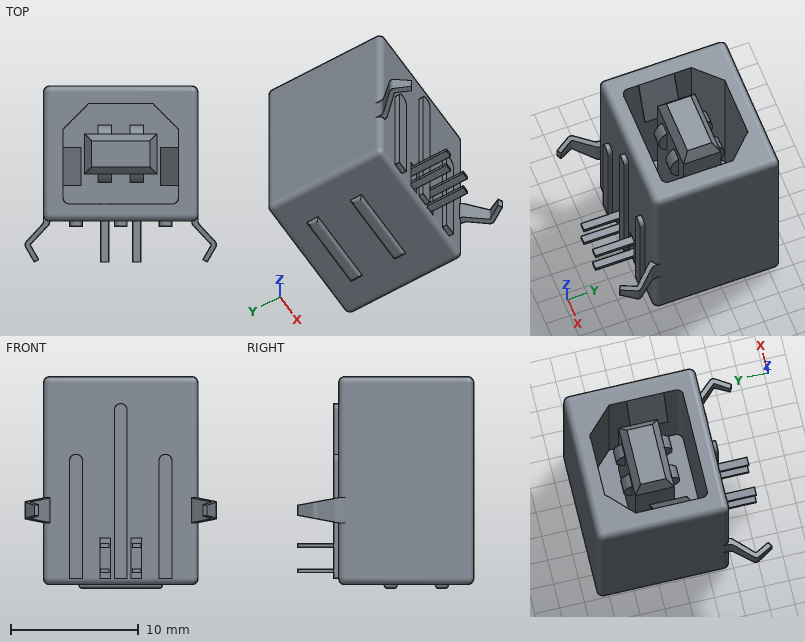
import cadquery as cq
import math


housing_width = 12.1
housing_depth = 10.59
housing_height = 16.3
overall_height = 16.6
housing_round = 0.5
half_width = housing_width / 2

cavity_half_width = 4.52
cavity_front = 1.35
cavity_back = 9.23
cavity_front_round = 0.5
cavity_back_half_width = 2.49

pin_width = 0.63
pin_thickness = 0.28
pin_spacing = 2.5
pin_rows = (1.08, 3.07)
pin_tip_y = -3.2
slot_inner_x = 0.81
slot_width = 0.81
slot_bottom = housing_round
slot_top = 3.67
cavity_floor = slot_top

tongue_half_width = 2.82
tongue_front = 3.7
tongue_back = 6.84
tongue_top = 16.07
tongue_bevel_side = 0.55
tongue_bevel_height = 0.9

contact_width = 1.03
contact_top = 14.28
contact_half_length = 1.28
contact_bulge = 0.68

finger_front = 2.79
finger_back = 5.78
finger_reach = 1.4
finger_drop = 3.55
finger_thickness = 0.15

rib_width = 1.01
rib_height = 0.4
rib_offset = 3.5
center_rib_top = 14.18
side_rib_top = 10.21

foot_length = 6.54
foot_width = 1.03
foot_height = overall_height - housing_height
foot_round = 0.28
foot_centers = (4.08, 8.08)

clip_center_z = 5.83
clip_root_width = 2.0
clip_tip_width = 0.8
clip_thickness = 0.4
clip_out_angle = math.radians(43)
clip_return_angle = math.radians(30)
clip_bend_y = -0.15
clip_elbow_x = 7.59
clip_root_outer_round = 0.58
clip_root_inner_round = 0.43
clip_elbow_outer_round = 0.38
clip_elbow_inner_round = 0.1


def box(x0, x1, y0, y1, z0, z1):
    return cq.Workplane("XY").box(x1 - x0, y1 - y0, z1 - z0, centered=False).translate((x0, y0, z0))


def make_housing():
    block = box(-half_width, half_width, 0, housing_depth, 0, housing_height)
    return block.edges().fillet(housing_round)


def make_cavity():
    """Opening from the top, with its two back corners cut at 45 degrees."""
    corner_cut = cavity_half_width - cavity_back_half_width
    outline = [
        (-cavity_half_width, cavity_front),
        (cavity_half_width, cavity_front),
        (cavity_half_width, cavity_back - corner_cut),
        (cavity_back_half_width, cavity_back),
        (-cavity_back_half_width, cavity_back),
        (-cavity_half_width, cavity_back - corner_cut),
    ]
    cavity = cq.Workplane("XY").workplane(offset=cavity_floor).polyline(outline).close()
    cavity = cavity.extrude(housing_height - cavity_floor)
    return cavity.edges("|Z and <Y").fillet(cavity_front_round)


def make_pin_slot(side):
    center_x = side * (slot_inner_x + slot_width / 2)
    return box(center_x - slot_width / 2, center_x + slot_width / 2, 0, cavity_front, slot_bottom, slot_top)


def make_tongue():
    width = 2 * tongue_half_width
    depth = tongue_back - tongue_front
    bevel_bottom = tongue_top - tongue_bevel_height
    center_y = (tongue_front + tongue_back) / 2
    stem = box(-tongue_half_width, tongue_half_width, tongue_front, tongue_back, cavity_floor, bevel_bottom)
    tip = (
        cq.Workplane("XY", origin=(0, center_y, bevel_bottom))
        .rect(width, depth)
        .workplane(offset=tongue_bevel_height)
        .rect(width - 2 * tongue_bevel_side, depth - 2 * tongue_bevel_side)
        .loft(ruled=True)
    )
    return stem.union(tip)


def make_contact(center_x, face_y, outward):
    """Rounded contact bulging out of one tongue face."""
    middle = (face_y + outward * contact_bulge, contact_top - contact_half_length)
    return (
        cq.Workplane("YZ", origin=(center_x - contact_width / 2, 0, 0))
        .moveTo(face_y, contact_top)
        .threePointArc(middle, (face_y, contact_top - 2 * contact_half_length))
        .close()
        .extrude(contact_width)
    )


def make_finger():
    """Thin sheet leaning inward from the right-hand rim of the cavity."""
    tip_x = cavity_half_width - finger_reach
    tip_z = housing_height - finger_drop
    outline = [
        (cavity_half_width, housing_height),
        (tip_x, tip_z),
        (tip_x + finger_thickness, tip_z),
        (cavity_half_width + finger_thickness, housing_height),
    ]
    sheet = cq.Workplane("XZ", origin=(0, finger_back, 0)).polyline(outline).close()
    return sheet.extrude(finger_back - finger_front)


def make_rib(center_x, top):
    radius = rib_width / 2
    return (
        cq.Workplane("XZ")
        .moveTo(center_x - radius, housing_round)
        .lineTo(center_x - radius, top - radius)
        .threePointArc((center_x, top), (center_x + radius, top - radius))
        .lineTo(center_x + radius, housing_round)
        .close()
        .extrude(rib_height)
    )


def make_foot(center_y):
    buried = housing_round
    bar = cq.Workplane("XY").box(foot_length, foot_width, foot_height + buried, centered=(True, True, False))
    bar = bar.faces("<Z").edges().fillet(foot_round)
    return bar.translate((0, center_y, -foot_height))


def make_pin(center_x, center_z):
    left = center_x - pin_width / 2
    bottom = center_z - pin_thickness / 2
    return box(left, left + pin_width, pin_tip_y, tongue_front, bottom, bottom + pin_thickness)


def make_clip():
    """Bent, tapering sheet on the right-hand side."""
    out_slope = math.tan(clip_out_angle)
    return_slope = math.tan(clip_return_angle)
    inner_root_x = half_width - housing_round

    bend = (half_width, clip_bend_y)
    elbow = (clip_elbow_x, clip_bend_y - (clip_elbow_x - half_width) / out_slope)
    tip_outer = (clip_elbow_x - (elbow[1] - pin_tip_y) * return_slope, pin_tip_y)

    tip_inner = (
        tip_outer[0] - clip_thickness * math.cos(clip_return_angle),
        tip_outer[1] + clip_thickness * math.sin(clip_return_angle),
    )
    elbow_turn = (clip_out_angle + clip_return_angle) / 2
    elbow_miter = clip_thickness / math.cos(elbow_turn)
    miter_angle = (clip_return_angle - clip_out_angle) / 2
    elbow_inner = (
        elbow[0] - elbow_miter * math.cos(miter_angle),
        elbow[1] + elbow_miter * math.sin(miter_angle),
    )
    bend_inner = (inner_root_x, elbow_inner[1] + (elbow_inner[0] - inner_root_x) / out_slope)

    outline = [
        (half_width, housing_round), bend, elbow, tip_outer,
        tip_inner, elbow_inner, bend_inner, (inner_root_x, housing_round),
    ]
    sheet = (
        cq.Workplane("XY", origin=(0, 0, clip_center_z - clip_root_width / 2))
        .polyline(outline)
        .close()
        .extrude(clip_root_width)
    )
    bends = [
        (bend, clip_root_outer_round),
        (elbow, clip_elbow_outer_round),
        (elbow_inner, clip_elbow_inner_round),
        (bend_inner, clip_root_inner_round),
    ]
    for (x, y), radius in bends:
        sheet = sheet.edges(cq.selectors.NearestToPointSelector((x, y, clip_center_z))).fillet(radius)

    half_root = clip_root_width / 2
    half_tip = clip_tip_width / 2
    taper = (
        cq.Workplane("YZ")
        .polyline([
            (housing_round, clip_center_z - half_root),
            (0, clip_center_z - half_root),
            (pin_tip_y, clip_center_z - half_tip),
            (pin_tip_y, clip_center_z + half_tip),
            (0, clip_center_z + half_root),
            (housing_round, clip_center_z + half_root),
        ])
        .close()
        .extrude(clip_elbow_x)
    )
    return sheet.intersect(taper)


result = make_housing().cut(make_cavity())
for side in (-1, 1):
    result = result.cut(make_pin_slot(side))

result = result.union(make_tongue())
for side in (-1, 1):
    pin_x = side * pin_spacing / 2
    result = result.union(make_contact(pin_x, tongue_front, -1))
    result = result.union(make_contact(pin_x, tongue_back, 1))
    for row_z in pin_rows:
        result = result.union(make_pin(pin_x, row_z))

result = result.union(make_rib(0, center_rib_top))
for side in (-1, 1):
    result = result.union(make_rib(side * rib_offset, side_rib_top))

for foot_y in foot_centers:
    result = result.union(make_foot(foot_y))

for part in (make_finger(), make_clip()):
    result = result.union(part).union(part.mirror("YZ"))